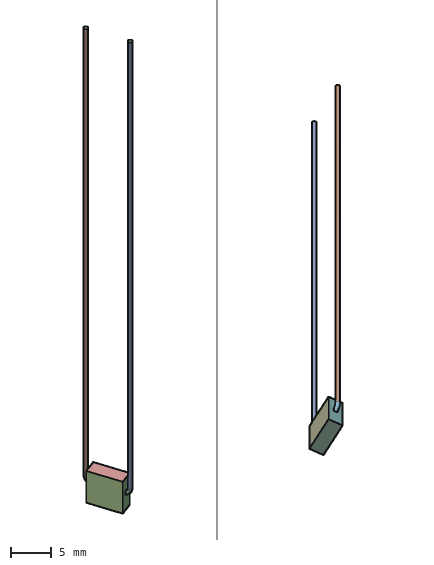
import cadquery as cq

total_width = 6.7
total_height = 73.35

body_width = 5.0
body_depth = 2.0
body_height = 5.0

wire_diameter = 0.6
bend_radius = 0.95
bend_top = 3.5
wire_embedment = 0.4

lead_x = (total_width - wire_diameter) / 2
bend_center_x = lead_x - bend_radius
lead_exit_z = bend_top - bend_radius


def make_body():
    return cq.Workplane("XY").box(
        body_width, body_depth, body_height, centered=(True, True, False)
    )


def make_right_lead():
    """Lead on the +X side: short embedded run, quarter bend, long upright."""
    section = cq.Workplane("XY", origin=(lead_x, 0, bend_top)).circle(wire_diameter / 2)
    upright = section.extrude(total_height - bend_top)

    bend = (
        cq.Workplane("XY", origin=(lead_x, 0, bend_top))
        .circle(wire_diameter / 2)
        .revolve(90, (-bend_radius, 0, 0), (-bend_radius, 1, 0))
    )
    embedded_run = (
        cq.Workplane("YZ", origin=(bend_center_x, 0, lead_exit_z))
        .circle(wire_diameter / 2)
        .extrude(-wire_embedment)
    )
    return upright.union(bend).union(embedded_run)


right_lead = make_right_lead()
left_lead = right_lead.mirror("YZ")

result = make_body().union(right_lead).union(left_lead)